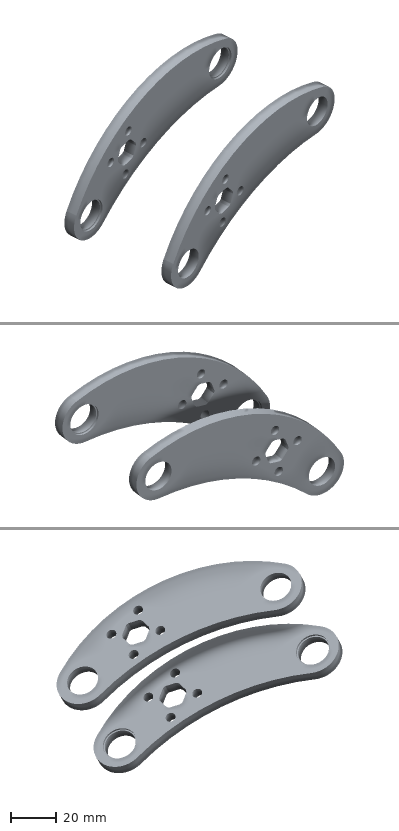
import cadquery as cq
import math

overall_width = 61.2
overall_length = 113.3
overall_height = 61.0
plate_thickness = 5.5
link_tilt = 20.0

end_radius = 12.0
outer_arc_radius = 85.0
inner_arc_radius = 109.9

pivot_diameter = 14.3
recess_diameter = 15.4
recess_depth = 1.0

hub_from_lower_pivot = 30.1
hub_above_pivot_line = 10.9
hex_across_flats = 11.5
hex_corner_diameter = 12.6
hex_angle = -10.2
bolt_diameter = 4.5
bolt_circle_radius = 11.3
bolt_count = 4
bolt_angle = -25.2

half_span = (overall_length / 2 - end_radius) / math.cos(math.radians(link_tilt))
pivots = [(-half_span, 0), (half_span, 0)]
hub_center = (hub_from_lower_pivot - half_span, hub_above_pivot_line)

pivot_midpoint_z = -overall_height / 2 + end_radius + half_span * math.sin(math.radians(link_tilt))


def edge_arc(radius, center_distance):
    """Return the right-hand tangent point and the crown of an edge arc.

    The arc's center lies below the pivot line, midway between the pivots,
    at center_distance from each pivot.
    """
    center_y = -math.sqrt(center_distance**2 - half_span**2)
    ratio = radius / center_distance
    tangent = (half_span * ratio, center_y * (1 - ratio))
    crown = (0, center_y + radius)
    return tangent, crown


def plate_outline():
    """Solid curved plate, lying along Y with its -X face at X = 0."""
    outer_end, outer_crown = edge_arc(outer_arc_radius, outer_arc_radius - end_radius)
    inner_end, inner_crown = edge_arc(inner_arc_radius, inner_arc_radius + end_radius)
    outer_start = (-outer_end[0], outer_end[1])
    inner_start = (-inner_end[0], inner_end[1])
    tip = half_span + end_radius
    return (
        cq.Workplane("YZ")
        .moveTo(*outer_start)
        .threePointArc(outer_crown, outer_end)
        .threePointArc((tip, 0), inner_end)
        .threePointArc(inner_crown, inner_start)
        .threePointArc((-tip, 0), outer_start)
        .close()
        .extrude(plate_thickness)
    )


def pivot_cutter():
    """Through bores with a shallow wider recess on the -X face."""
    bores = cq.Workplane("YZ").pushPoints(pivots).circle(pivot_diameter / 2).extrude(plate_thickness)
    recesses = cq.Workplane("YZ").pushPoints(pivots).circle(recess_diameter / 2).extrude(recess_depth)
    return bores.union(recesses)


def hex_cutter():
    """Hexagonal prism whose corners are rounded off by a concentric cylinder."""
    hex_across_corners = hex_across_flats / math.cos(math.pi / 6)
    hexagon = cq.Workplane("YZ").polygon(6, hex_across_corners).extrude(plate_thickness)
    corner_round = cq.Workplane("YZ").circle(hex_corner_diameter / 2).extrude(plate_thickness)
    return (
        hexagon.intersect(corner_round)
        .rotate((0, 0, 0), (1, 0, 0), hex_angle)
        .translate((0, *hub_center))
    )


def bolt_cutter():
    """Ring of bolt holes around the hexagonal opening."""
    return (
        cq.Workplane("YZ")
        .center(*hub_center)
        .polarArray(bolt_circle_radius, bolt_angle, 360, bolt_count)
        .circle(bolt_diameter / 2)
        .extrude(plate_thickness)
    )


def link_plate(side):
    """One plate, on the +X side (side = 1) or the -X side (side = -1).

    The recesses face the gap between the plates.
    """
    plate = plate_outline().cut(pivot_cutter()).cut(hex_cutter()).cut(bolt_cutter())
    plate = plate.rotate((0, 0, 0), (1, 0, 0), link_tilt)
    plate = plate.translate((overall_width / 2 - plate_thickness, 0, pivot_midpoint_z))
    if side < 0:
        plate = plate.mirror("YZ")
    return plate


link_plates = [link_plate(side) for side in (-1, 1)]

result = cq.Compound.makeCompound([plate.val() for plate in link_plates])